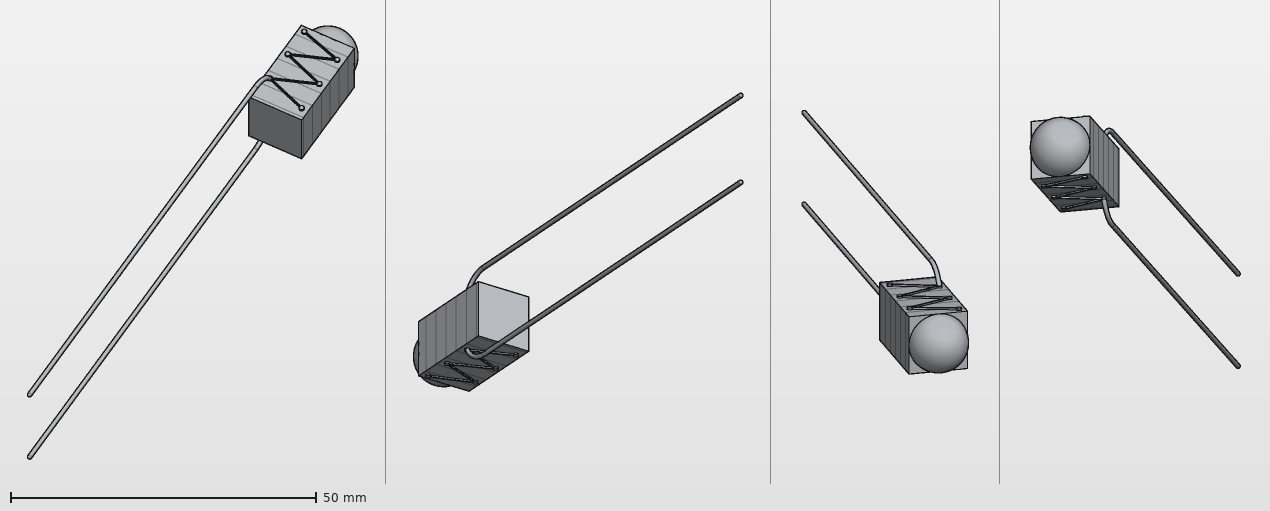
import cadquery as cq
import math

TOTAL_LENGTH = 97.9
OVERALL_HEIGHT = 16.7

BLOCK_WIDTH = 10.0
HALF_WIDTH = BLOCK_WIDTH / 2
FIRST_LAYER = 2.2
FULL_LAYERS = 5
FULL_LAYERS_LENGTH = 14.8
LAYER = FULL_LAYERS_LENGTH / FULL_LAYERS
END_LAYER = 0.6
LAYERS = [FIRST_LAYER] + [LAYER] * FULL_LAYERS + [END_LAYER]

STRIP_WIDTH = 0.2
STRIP_HEIGHT = 0.3
PAD_DIAMETER = 0.9
PAD_X = 3.8
PAD_Y = [-FIRST_LAYER / 2] + [-FIRST_LAYER - (i + 0.5) * LAYER for i in range(FULL_LAYERS)]
PADS = [(PAD_X * (-1) ** (i + 1), y) for i, y in enumerate(PAD_Y)]

LEAD_DIAMETER = 0.8
LEAD_PAD = 4
BEND_RUN = 4.9
LEAD_TIP_CENTRE_Y = HALF_WIDTH - TOTAL_LENGTH + LEAD_DIAMETER / 2
LEAD_Z = (OVERALL_HEIGHT - LEAD_DIAMETER) / 2


def make_block():
    """Square block built layer by layer, keeping the layer boundaries on its faces."""
    block = None
    front = 0.0
    for thickness in LAYERS:
        layer = cq.Workplane("XY").box(BLOCK_WIDTH, thickness, BLOCK_WIDTH)
        layer = layer.translate((0, front - thickness / 2, 0))
        block = layer if block is None else block.union(layer, clean=False)
        front -= thickness
    return block


def make_dome():
    """Hemisphere seated on the +Y face of the block."""
    quarter_disc = (
        cq.Workplane("YZ")
        .lineTo(0, HALF_WIDTH)
        .radiusArc((HALF_WIDTH, 0), HALF_WIDTH)
        .close()
    )
    return quarter_disc.revolve(360, (0, 0, 0), (1, 0, 0))


def make_strip(start, end):
    """Straight conductor strip between two pad centres on top of the block."""
    dx = end[0] - start[0]
    dy = end[1] - start[1]
    strip = cq.Workplane("XY").box(math.hypot(dx, dy), STRIP_WIDTH, STRIP_HEIGHT)
    strip = strip.rotate((0, 0, 0), (0, 0, 1), math.degrees(math.atan2(dy, dx)))
    middle = ((start[0] + end[0]) / 2, (start[1] + end[1]) / 2, HALF_WIDTH + STRIP_HEIGHT / 2)
    return strip.translate(middle)


def make_lead():
    """Round lead with a rounded tip, a straight run and an arc, trimmed flat where it meets the block."""
    pad_x, pad_y = PADS[LEAD_PAD]
    rise = LEAD_Z - HALF_WIDTH
    bend_radius = (BEND_RUN**2 + rise**2) / (2 * rise)
    bend_angle = math.asin(BEND_RUN / bend_radius)
    start_angle = bend_angle + LEAD_DIAMETER / bend_radius
    bend_end_y = pad_y - BEND_RUN

    def on_bend(angle):
        return (
            bend_end_y + bend_radius * math.sin(angle),
            LEAD_Z - bend_radius * (1 - math.cos(angle)),
        )

    path = (
        cq.Workplane("YZ", origin=(pad_x, 0, 0))
        .moveTo(LEAD_TIP_CENTRE_Y, LEAD_Z)
        .lineTo(bend_end_y, LEAD_Z)
        .threePointArc(on_bend(start_angle / 2), on_bend(start_angle))
    )
    tip_centre = (pad_x, LEAD_TIP_CENTRE_Y, LEAD_Z)
    section = cq.Workplane("XZ", origin=tip_centre).circle(LEAD_DIAMETER / 2)
    tip = cq.Workplane("XY").sphere(LEAD_DIAMETER / 2).translate(tip_centre)
    lead = section.sweep(path).union(tip)
    trim = cq.Workplane("XY").box(BLOCK_WIDTH, 2 * TOTAL_LENGTH, BLOCK_WIDTH)
    return lead.cut(trim)


def make_electrode(side):
    """Zigzag strips, contact pads and lead as one conductor on the +Z (1) or -Z (-1) face."""
    electrode = (
        cq.Workplane("XY", origin=(0, 0, HALF_WIDTH))
        .pushPoints(PADS)
        .circle(PAD_DIAMETER / 2)
        .extrude(STRIP_HEIGHT)
    )
    for start, end in zip(PADS, PADS[1:]):
        electrode = electrode.union(make_strip(start, end))
    electrode = electrode.union(make_lead())
    return electrode if side > 0 else electrode.mirror("XY")


block = make_block()
dome = make_dome()
electrodes = []
for side in (1, -1):
    electrodes.append(make_electrode(side))

result = cq.Compound.makeCompound(
    [block.val(), dome.val(), *[electrode.val() for electrode in electrodes]]
)